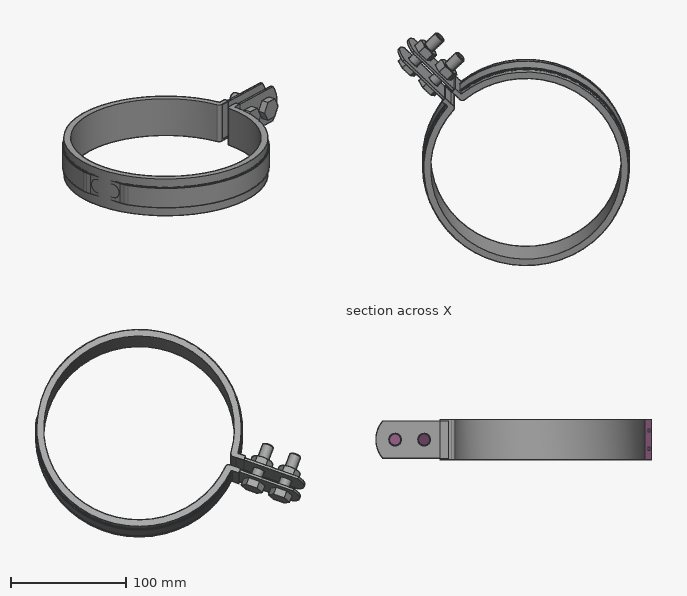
import cadquery as cq
import math


LINER_INNER_R = 82.5
LINER_OUTER_R = 88.5
LINER_HEIGHT = 35.0
LINER_GAP = 8.0
LINER_LEG_THICKNESS = 4.3
LINER_LEG_INNER_X = LINER_GAP / 2
LINER_LEG_OUTER_X = LINER_LEG_INNER_X + LINER_LEG_THICKNESS
LINER_LEG_TOP_Y = 95.2
LINER_LEG_FILLET = 2.9

STRAP_THICKNESS = 2.2
STRAP_OUTER_R = 179.6 / 2
STRAP_INNER_R = STRAP_OUTER_R - STRAP_THICKNESS
STRAP_HEIGHT = 19.1
STRAP_CHAMFER = 0.5
STRAP_FLAT_DEPTH = 87.0
STRAP_BEND_R = 14.4
STRAP_SLOT_LENGTH = 30.0
STRAP_SLOT_WIDTH = 12.5

TAB_GAP = 9.3
TAB_INNER_X = TAB_GAP / 2
TAB_OUTER_X = TAB_INNER_X + STRAP_THICKNESS
TAB_HEIGHT = 32.5
OVERALL_LENGTH = 239.2
TAB_TIP_Y = OVERALL_LENGTH - LINER_OUTER_R
TAB_TIP_R = 25.0

BOLT_COUNT = 2
BOLT_SPACING = 25.0
BOLT_FIRST_Y = 108.8
BOLT_D = 10.0
BOLT_TIP_D = 8.4
BOLT_TIP_X = -28.5
BOLT_HOLE_D = 11.0
HEX_ACROSS_FLATS = 17.0
HEX_ACROSS_CORNERS = HEX_ACROSS_FLATS / math.cos(math.pi / 6)
HEAD_THICKNESS = 6.5
NUT_THICKNESS = 8.0
NUT_CHAMFER_ANGLE = math.radians(30)

BOLT_YS = [BOLT_FIRST_Y + i * BOLT_SPACING for i in range(BOLT_COUNT)]

EDGE_MARGIN = 1.2


def box_between(x0, x1, y0, y1, height):
    """Block centred on Z = 0 between the given X and Y limits."""
    return cq.Workplane("XY").box(x1 - x0, y1 - y0, height).translate(((x0 + x1) / 2, (y0 + y1) / 2, 0))


def disc(radius, height):
    """Disc on the ring axis, centred on Z = 0."""
    return cq.Workplane("XY").circle(radius).extrude(height / 2, both=True)


def both_sides(body):
    """The body joined with its mirror image across the YZ plane."""
    return body.union(body.mirror("YZ"))


def flattened_disc(radius, flat_depth, bend_r):
    """Disc with one flat on its -Y side and rounded bends where the flat begins."""
    flat_cut = box_between(-radius, radius, -2 * radius, -flat_depth, STRAP_HEIGHT)
    flattened = disc(radius, STRAP_HEIGHT).cut(flat_cut)
    bends = cq.selectors.BoxSelector(
        (-radius, -flat_depth - EDGE_MARGIN, -STRAP_HEIGHT),
        (radius, -flat_depth + EDGE_MARGIN, STRAP_HEIGHT),
    )
    return flattened.edges("|Z").edges(bends).fillet(bend_r)


def make_strap_ring():
    """Open ring whose flat section has a round-ended slot that the liner fills."""
    outer = flattened_disc(STRAP_OUTER_R, STRAP_FLAT_DEPTH, STRAP_BEND_R)
    outer = outer.faces("<Z or >Z").edges().chamfer(STRAP_CHAMFER)
    inner = flattened_disc(STRAP_INNER_R, STRAP_FLAT_DEPTH - STRAP_THICKNESS, STRAP_BEND_R - STRAP_THICKNESS)
    gap = box_between(-TAB_INNER_X, TAB_INNER_X, 0, TAB_TIP_Y, STRAP_HEIGHT)
    slot = (
        cq.Workplane("XZ")
        .slot2D(STRAP_SLOT_LENGTH, STRAP_SLOT_WIDTH)
        .extrude(STRAP_FLAT_DEPTH)
    )
    return outer.cut(inner).cut(gap).cut(slot)


def make_tabs():
    """The two tabs, with rounded tips and bolt clearance holes."""
    tab = box_between(TAB_INNER_X, TAB_OUTER_X, STRAP_INNER_R, TAB_TIP_Y, TAB_HEIGHT)
    rounded_tip = (
        cq.Workplane("YZ")
        .center(TAB_TIP_Y - TAB_TIP_R, 0)
        .circle(TAB_TIP_R)
        .extrude(TAB_OUTER_X)
    )
    straight_part = box_between(0, TAB_OUTER_X, STRAP_INNER_R, TAB_TIP_Y - TAB_TIP_R, TAB_HEIGHT)
    holes = (
        cq.Workplane("YZ")
        .pushPoints([(y, 0) for y in BOLT_YS])
        .circle(BOLT_HOLE_D / 2)
        .extrude(TAB_OUTER_X)
    )
    return both_sides(tab.intersect(rounded_tip.union(straight_part)).cut(holes))


def make_strap():
    return make_strap_ring().union(make_tabs())


def make_liner(strap):
    """C-shaped liner with a leg on each side of the gap, hollowed where the strap sits."""
    legs = both_sides(box_between(LINER_LEG_INNER_X, LINER_LEG_OUTER_X, 0, LINER_LEG_TOP_Y, LINER_HEIGHT))
    gap = box_between(-LINER_LEG_INNER_X, LINER_LEG_INNER_X, 0, LINER_LEG_TOP_Y, LINER_HEIGHT)
    liner = disc(LINER_OUTER_R, LINER_HEIGHT).union(legs)
    liner = liner.cut(disc(LINER_INNER_R, LINER_HEIGHT)).cut(gap)
    inner_corners = cq.selectors.BoxSelector(
        (-LINER_LEG_OUTER_X, LINER_INNER_R - EDGE_MARGIN, -LINER_HEIGHT),
        (LINER_LEG_OUTER_X, LINER_INNER_R + EDGE_MARGIN, LINER_HEIGHT),
    )
    return liner.edges("|Z").edges(inner_corners).fillet(LINER_LEG_FILLET).cut(strap)


def hexagon(start_x, thickness):
    """Hexagonal prism along X with its corners pointing along Y."""
    return (
        cq.Workplane("YZ")
        .workplane(offset=start_x)
        .polygon(6, HEX_ACROSS_CORNERS)
        .extrude(thickness)
    )


def make_bolt(y):
    """Bolt through both tabs with its head on the +X side and its nut on the -X side."""
    shank_length = TAB_OUTER_X - BOLT_TIP_X
    shank = cq.Workplane("YZ").workplane(offset=BOLT_TIP_X).circle(BOLT_D / 2).extrude(shank_length)
    shank = shank.faces("<X").chamfer((BOLT_D - BOLT_TIP_D) / 2)
    head = hexagon(TAB_OUTER_X, HEAD_THICKNESS)

    corner_overhang = (HEX_ACROSS_CORNERS - HEX_ACROSS_FLATS) / 2
    corner_drop = corner_overhang * math.tan(NUT_CHAMFER_ANGLE)
    nut_envelope = (
        cq.Workplane("YZ")
        .workplane(offset=-TAB_OUTER_X - NUT_THICKNESS)
        .circle(HEX_ACROSS_CORNERS / 2)
        .extrude(NUT_THICKNESS)
        .faces("<X")
        .chamfer(corner_drop, corner_overhang)
    )
    nut = hexagon(-TAB_OUTER_X - NUT_THICKNESS, NUT_THICKNESS).intersect(nut_envelope)
    return shank.union(head).union(nut).translate((0, y, 0))


strap = make_strap()
liner = make_liner(strap)
bolts = [make_bolt(y) for y in BOLT_YS]

result = cq.Compound.makeCompound([strap.val(), liner.val(), *[bolt.val() for bolt in bolts]])